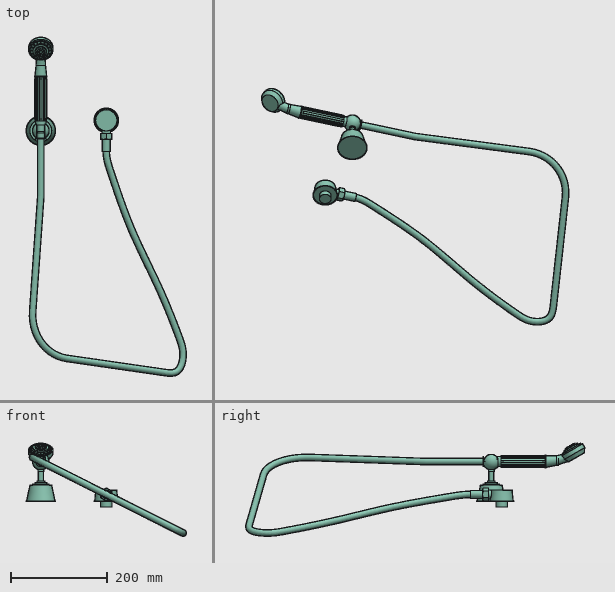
import cadquery as cq
import math


HANDLE_HEIGHT = 82.5

BELL_HEIGHT = 34.0
BELL_TOP_RADIUS = 22.6
BELL_LOW_RADIUS = 29.8
BELL_LIP_RADIUS = 30.5
BELL_LIP_HEIGHT = 1.0
DOME_STEPS = [(17.0, 2.5), (12.5, 3.0), (8.2, 3.0)]
POST_RADIUS = 5.6
POST_RING_RADIUS = 6.2
POST_RING_HEIGHT = 3.0

BALL_RADIUS = 17.4
BALL_HALF_LENGTH = 15.5
SLOT_HALF_WIDTH = 8.7

GRIP_START = 20.2
GRIP_END = 111.2
GRIP_RADIUS = 12.6
FLUTE_COUNT = 8
FLUTE_FLOOR_WIDTH = 3.8
FLUTE_MOUTH_WIDTH = 6.2
FLUTE_DEPTH = 2.0
GRIP_BAND_RADIUS = 12.2
GRIP_BAND_WIDTH = 4.5
GRIP_RING_RADIUS = 13.2
GRIP_RING_WIDTH = 1.2
GRIP_TAIL_RADIUS = 10.5
GRIP_TAIL_START = 12.0
STEM_RADIUS = 7.4
STEM_GROOVE_RADIUS = 6.7
STEM_GROOVE = (-1.5, -4.5)
FLANGE_RADIUS = 10.5
FLANGE_WIDTH = 2.0

NECK_END = 135.0
NECK_BASE_RADIUS = 12.4
NECK_END_RADIUS = 10.0
NECK_BEAD_WIDTH = 4.0
NECK_BEAD_RADIUS = 10.2

HEAD_TILT = 30.0
HEAD_CENTRE = (0, 166.8, 106.7)
HEAD_RADIUS = 25.2
HEAD_BACK_RADIUS = 19.0
HEAD_BACK_DEPTH = 18.0
RIM_DEPTH = 9.0
FACE_RINGS = [(22.2, 3.0), (16.5, 6.5), (11.8, 9.0)]
NOZZLE_RINGS = [(19.4, 3.0, 16), (8.0, 9.0, 12), (4.0, 9.0, 6)]
NOZZLE_RADIUS = 0.9
NOZZLE_HEIGHT = 0.8
NECK_ROOT_SETBACK = 15.0

OUTLET_X = 135.0
OUTLET_Y = 21.5
OUTLET_HEIGHT = 23.8
OUTLET_TOP_RADIUS = 21.8
OUTLET_LOW_RADIUS = 24.2
OUTLET_LIP_RADIUS = 25.4
OUTLET_LIP_HEIGHT = 1.0
OUTLET_PIPE_HEIGHT = 14.7
INLET_RADIUS = 12.0
INLET_LENGTH = 11.5
NUT_START = -5.5
NUT_END = -18.0
NUT_ACROSS_FLATS = 23.4
NUT_CHAMFER = 2.0
NUT_NECK_RADIUS = 9.0
SLEEVE_END = -43.0
SLEEVE_RADIUS = 8.6

HOSE_RADIUS = 6.95
TUBE_END = -135.0
HOSE_BEND_CORNER = (-22.8, -458.5)
HOSE_BEND_TANGENT = 86.0
HOSE_RUN_END = (251.5, -498.0)
HOSE_RETURN = [
    (279.5, -496.9),
    (293.4, -459.0),
    (285.8, -427.7),
    (244.7, -326.5),
    (185.7, -200.0),
    (144.6, -86.2),
]

HOSE_SLOPE = math.atan2(HANDLE_HEIGHT - OUTLET_PIPE_HEIGHT, OUTLET_X)


def disc(radius, start, height, x=0, y=0):
    """Vertical cylinder rising from the height `start`."""
    return cq.Workplane("XY", origin=(x, y, start)).circle(radius).extrude(height)


def cone(low_radius, top_radius, height, x=0, y=0):
    """Vertical truncated cone standing on Z = 0."""
    profile = [(0, 0), (low_radius, 0), (top_radius, height), (0, height)]
    solid = cq.Workplane("XZ").polyline(profile).close().revolve(360, (0, 0), (0, 1))
    return solid.translate((x, y, 0))


def rod(radius, start, end, x=0, z=HANDLE_HEIGHT):
    """Cylinder along Y between two Y positions."""
    return cq.Workplane("XZ", origin=(x, start, z)).circle(radius).extrude(start - end)


def mount():
    """Bell, stepped rings, post and the slotted ball that cradles the handle."""
    body = cone(BELL_LOW_RADIUS, BELL_TOP_RADIUS, BELL_HEIGHT)
    body = body.union(disc(BELL_LIP_RADIUS, 0, BELL_LIP_HEIGHT))
    level = BELL_HEIGHT
    for radius, height in DOME_STEPS:
        body = body.union(disc(radius, level, height))
        level += height
    body = body.union(disc(POST_RADIUS, level, HANDLE_HEIGHT - BALL_RADIUS / 2 - level))
    ring_base = HANDLE_HEIGHT - BALL_RADIUS - POST_RING_HEIGHT
    body = body.union(disc(POST_RING_RADIUS, ring_base, 2 * POST_RING_HEIGHT))

    size = 2 * BALL_RADIUS
    ball = cq.Workplane("XY").sphere(BALL_RADIUS)
    ball = ball.intersect(cq.Workplane("XY").box(size, 2 * BALL_HALF_LENGTH, size))
    slot = cq.Workplane("XY").box(2 * SLOT_HALF_WIDTH, size, size, centered=(True, True, False))
    return body.union(ball.cut(slot).translate((0, 0, HANDLE_HEIGHT)))


def grip():
    """Fluted grip with its end ring, and the stem resting in the cradle."""
    band_inner_ends = (GRIP_START + GRIP_BAND_WIDTH, GRIP_END - GRIP_BAND_WIDTH)
    body = rod(GRIP_BAND_RADIUS, GRIP_START, GRIP_END).union(rod(GRIP_RADIUS, *band_inner_ends))
    flute_profile = [
        (-FLUTE_FLOOR_WIDTH / 2, GRIP_RADIUS - FLUTE_DEPTH),
        (FLUTE_FLOOR_WIDTH / 2, GRIP_RADIUS - FLUTE_DEPTH),
        (FLUTE_MOUTH_WIDTH / 2, GRIP_RADIUS),
        (-FLUTE_MOUTH_WIDTH / 2, GRIP_RADIUS),
    ]
    flute = (
        cq.Workplane("XZ", origin=(0, GRIP_START, HANDLE_HEIGHT))
        .polyline(flute_profile).close().extrude(GRIP_START - GRIP_END)
    )
    pitch = 360 / FLUTE_COUNT
    for index in range(FLUTE_COUNT):
        angle = (index + 0.5) * pitch
        body = body.cut(flute.rotate((0, 0, HANDLE_HEIGHT), (0, 1, HANDLE_HEIGHT), angle))
    body = body.union(rod(GRIP_RING_RADIUS, GRIP_END, GRIP_END + GRIP_RING_WIDTH))
    body = body.union(rod(GRIP_TAIL_RADIUS, GRIP_TAIL_START, GRIP_START))
    body = body.union(rod(STEM_GROOVE_RADIUS, -BALL_HALF_LENGTH, BALL_HALF_LENGTH))
    body = body.union(rod(STEM_RADIUS, -BALL_HALF_LENGTH, STEM_GROOVE[1]))
    body = body.union(rod(STEM_RADIUS, STEM_GROOVE[0], BALL_HALF_LENGTH))
    return body.union(rod(FLANGE_RADIUS, -BALL_HALF_LENGTH - FLANGE_WIDTH, -BALL_HALF_LENGTH))


def neck(head_plane):
    """Taper with a straight top line, then the bent throat that enters the head."""
    base = GRIP_END + GRIP_RING_WIDTH
    rise = NECK_BASE_RADIUS - NECK_END_RADIUS
    end_height = HANDLE_HEIGHT + rise
    taper = (
        cq.Workplane("XZ", origin=(0, base, HANDLE_HEIGHT)).circle(NECK_BASE_RADIUS)
        .workplane(offset=base - NECK_END).center(0, rise).circle(NECK_END_RADIUS)
        .loft(ruled=True)
    )
    bead = rod(NECK_BEAD_RADIUS, NECK_END, NECK_END + NECK_BEAD_WIDTH, z=end_height)

    root = head_plane.toWorldCoords((0, -NECK_ROOT_SETBACK, -HEAD_BACK_DEPTH / 2))
    start = cq.Vector(0, NECK_END, end_height)
    start_wire = cq.Wire.makeCircle(NECK_END_RADIUS, start, cq.Vector(0, 1, 0))
    root_wire = cq.Wire.makeCircle(HEAD_BACK_DEPTH / 2, root, head_plane.yDir)
    throat = cq.Workplane(cq.Solid.makeLoft([start_wire, root_wire], True))
    return taper.union(bead).union(throat)


def head(head_plane):
    """Tilted spray head: rounded back, rim, stepped face and rings of nozzles."""
    profile = cq.Workplane("XZ").moveTo(0, -HEAD_BACK_DEPTH).lineTo(HEAD_BACK_RADIUS, -HEAD_BACK_DEPTH)
    profile = profile.lineTo(HEAD_RADIUS, -RIM_DEPTH).lineTo(HEAD_RADIUS, 0)
    level = 0
    for radius, height in FACE_RINGS:
        profile = profile.lineTo(radius, level).lineTo(radius, height)
        level = height
    body = profile.lineTo(0, level).close().revolve(360, (0, 0), (0, 1))
    for radius, height, count in NOZZLE_RINGS:
        nozzles = (
            cq.Workplane("XY").workplane(offset=height - NOZZLE_HEIGHT)
            .polarArray(radius, 0, 360, count)
            .circle(NOZZLE_RADIUS).extrude(2 * NOZZLE_HEIGHT)
        )
        body = body.union(nozzles)
    return cq.Workplane(body.val().moved(cq.Location(head_plane)))


def outlet():
    """Round wall outlet with its inlet stub, hex nut and hose sleeve."""
    body = cone(OUTLET_LOW_RADIUS, OUTLET_TOP_RADIUS, OUTLET_HEIGHT, OUTLET_X, OUTLET_Y)
    body = body.union(disc(OUTLET_LIP_RADIUS, 0, OUTLET_LIP_HEIGHT, OUTLET_X, OUTLET_Y))
    body = body.union(disc(INLET_RADIUS, -INLET_LENGTH, INLET_LENGTH, OUTLET_X, OUTLET_Y))

    body = body.union(rod(NUT_NECK_RADIUS, NUT_START, 0, OUTLET_X, OUTLET_PIPE_HEIGHT))
    corner_diameter = NUT_ACROSS_FLATS / math.cos(math.pi / 6)
    nut = (
        cq.Workplane("XZ", origin=(OUTLET_X, NUT_START, OUTLET_PIPE_HEIGHT))
        .transformed(rotate=(0, 0, 90))
        .polygon(6, corner_diameter).extrude(NUT_START - NUT_END)
    )
    chamfered = rod(corner_diameter / 2, NUT_START, NUT_END, OUTLET_X, OUTLET_PIPE_HEIGHT)
    nut = nut.intersect(chamfered.faces("<Y").chamfer(NUT_CHAMFER))
    return body.union(nut).union(rod(SLEEVE_RADIUS, SLEEVE_END, NUT_END, OUTLET_X, OUTLET_PIPE_HEIGHT))


def hose():
    """Straight tube and hose, swept along one path lying in a sloping plane."""
    hose_plane = cq.Plane(
        origin=(0, 0, HANDLE_HEIGHT),
        xDir=(math.cos(HOSE_SLOPE), 0, -math.sin(HOSE_SLOPE)),
        normal=(math.sin(HOSE_SLOPE), 0, math.cos(HOSE_SLOPE)),
    )

    def in_plane(plan_point):
        return cq.Vector(plan_point[0] / math.cos(HOSE_SLOPE), plan_point[1])

    tube_end = cq.Vector(0, TUBE_END)
    corner = in_plane(HOSE_BEND_CORNER)
    run_end = in_plane(HOSE_RUN_END)
    run_direction = (run_end - corner).normalized()
    bend_start = corner + (tube_end - corner).normalized() * HOSE_BEND_TANGENT
    bend_end = corner + run_direction * HOSE_BEND_TANGENT
    returning = [in_plane(point) for point in HOSE_RETURN + [(OUTLET_X, SLEEVE_END)]]

    path = (
        cq.Workplane(hose_plane).moveTo(0, -BALL_HALF_LENGTH)
        .lineTo(tube_end.x, tube_end.y)
        .lineTo(bend_start.x, bend_start.y)
        .tangentArcPoint((bend_end.x, bend_end.y), relative=False)
        .lineTo(run_end.x, run_end.y)
        .spline(
            [(point.x, point.y) for point in returning],
            tangents=[(run_direction.x, run_direction.y), (0, 1)],
            includeCurrent=True,
            scale=False,
        )
    )
    section = cq.Workplane("XZ", origin=(0, -BALL_HALF_LENGTH, HANDLE_HEIGHT)).circle(HOSE_RADIUS)
    return section.sweep(path, transition="right")


tilt = math.radians(HEAD_TILT)
face_plane = cq.Plane(origin=HEAD_CENTRE, xDir=(1, 0, 0), normal=(0, -math.sin(tilt), math.cos(tilt)))

handset = grip().union(neck(face_plane)).union(head(face_plane))
result = mount().union(handset).union(outlet()).union(hose())